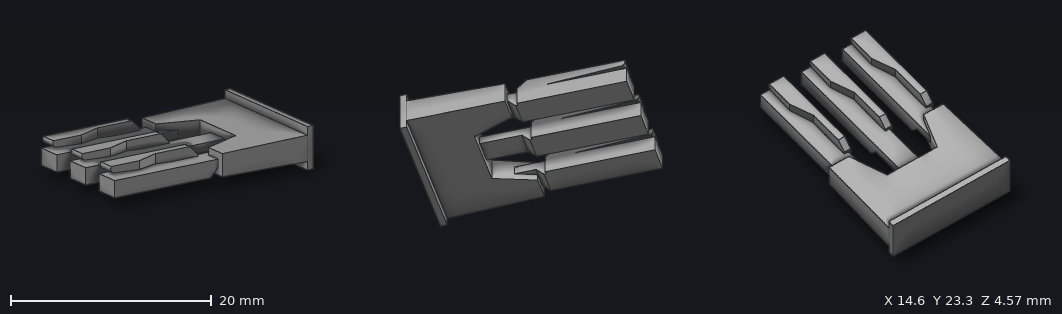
import cadquery as cq

total_length = 23.33

flange_width = 14.63
flange_front_width = 14.6
flange_height = 4.57
flange_thickness = 0.7
body_rear_height = 2.75
body_front_width = 14.23
body_front_height = 2.45
body_front_y = 12.48
flange_front_y = total_length - flange_thickness
body_length = flange_front_y - body_front_y

notch_end_y = 16.8
notch_inner_width = 6.23
notch_outer_width = 9.33

blade_count = 3
blade_pitch = 5.1
shank_width = 2.45
shank_thickness = 0.93
shank_end_y = 18.66
blade_overhang = 0.3
blade_bottom_z = -1.38
blade_top_z = 0.45
blade_rear_y = 11.39
ramp_front_y = 11.6
ramp_rear_y = 12.43
blade_right_x = shank_width / 2
shank_left_x = -shank_width / 2
blade_left_x = shank_left_x - blade_overhang
shank_bottom_z = blade_top_z - shank_thickness

spring_top_z = 1.63
spring_shoulder_z = 0.7
spring_rear_y = 10.38
spring_narrow_width = 0.82
spring_wide_width = 1.82
spring_flare_rear_y = 6.25
spring_flare_front_y = 3.65
slit_rear_y = 8.2
tip_top_y = 0.23
tip_nose_y = 0.16
tip_nose_z = 1.4
tip_bottom_y = 0.51
tip_bottom_z = 0.9


def make_handle():
    flange = (
        cq.Workplane("XY")
        .polyline([
            (-flange_width / 2, total_length),
            (flange_width / 2, total_length),
            (flange_front_width / 2, flange_front_y),
            (-flange_front_width / 2, flange_front_y),
        ])
        .close()
        .extrude(flange_height / 2, both=True)
    )
    body = (
        cq.Workplane("XZ", origin=(0, flange_front_y, 0))
        .rect(flange_front_width, body_rear_height)
        .workplane(offset=body_length)
        .rect(body_front_width, body_front_height)
        .loft(ruled=True, combine=True)
    )
    notch = (
        cq.Workplane("XY")
        .polyline([
            (-notch_outer_width / 2, body_front_y),
            (-notch_inner_width / 2, notch_end_y),
            (notch_inner_width / 2, notch_end_y),
            (notch_outer_width / 2, body_front_y),
        ])
        .close()
        .extrude(flange_height / 2, both=True)
    )
    return flange.union(body.cut(notch))


def extrude_profile(profile, left_x, right_x):
    """Extrude a closed YZ profile between two X positions."""
    return profile.extrude(right_x - left_x).translate((left_x, 0, 0))


def make_blade():
    """Blade with its shank, on the line where the shank is centred on X = 0."""
    shank_profile = (
        cq.Workplane("YZ")
        .moveTo(0, blade_bottom_z)
        .lineTo(ramp_front_y, blade_bottom_z)
        .lineTo(ramp_rear_y, shank_bottom_z)
        .lineTo(shank_end_y, shank_bottom_z)
        .lineTo(shank_end_y, blade_top_z)
        .lineTo(0, blade_top_z)
        .close()
    )
    shank = extrude_profile(shank_profile, shank_left_x, blade_right_x)

    side_profile = (
        cq.Workplane("YZ")
        .moveTo(0, blade_bottom_z)
        .lineTo(blade_rear_y, blade_bottom_z)
        .lineTo(blade_rear_y, blade_top_z)
        .lineTo(0, blade_top_z)
        .close()
    )
    side = extrude_profile(side_profile, blade_left_x, blade_right_x)
    return shank.union(side).union(make_spring())


def make_spring():
    """Spring arm: a side profile trimmed to a plan outline that flares forward."""
    arm_profile = (
        cq.Workplane("YZ")
        .moveTo(blade_rear_y, blade_top_z)
        .lineTo(blade_rear_y, spring_shoulder_z)
        .lineTo(spring_rear_y, spring_top_z)
        .lineTo(tip_top_y, spring_top_z)
        .threePointArc((tip_nose_y, tip_nose_z), (tip_bottom_y, tip_bottom_z))
        .lineTo(slit_rear_y, blade_top_z)
        .close()
    )
    narrow_x = blade_left_x + spring_narrow_width
    wide_x = blade_left_x + spring_wide_width
    arm = extrude_profile(arm_profile, blade_left_x, wide_x)
    plan = (
        cq.Workplane("XY")
        .moveTo(blade_left_x, 0)
        .lineTo(wide_x, 0)
        .lineTo(wide_x, spring_flare_front_y)
        .lineTo(narrow_x, spring_flare_rear_y)
        .lineTo(narrow_x, blade_rear_y)
        .lineTo(blade_left_x, blade_rear_y)
        .close()
        .extrude(spring_top_z)
    )
    return arm.intersect(plan)


result = make_handle()
blade = make_blade()
for index in range(blade_count):
    blade_x = (index - (blade_count - 1) / 2) * blade_pitch
    result = result.union(blade.translate((blade_x, 0, 0)))